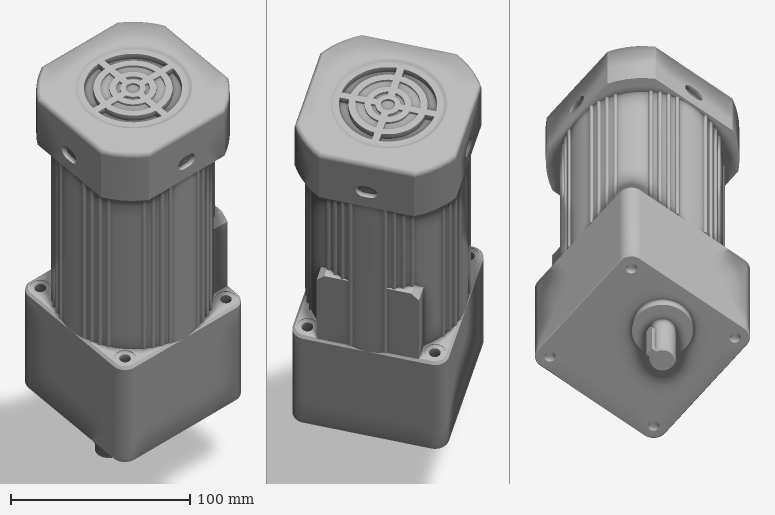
import cadquery as cq

total_height = 270.5
shaft_length = 31.5
boss_height = 5.5
gearbox_height = 65.5
flange_height = 8.0
seat_height = 0.6
cover_height = 36.0
gearbox_bottom = shaft_length + boss_height
flange_bottom = gearbox_bottom + gearbox_height
flange_top = flange_bottom + flange_height
tube_bottom = flange_top + seat_height
cover_bottom = total_height - cover_height

frame_width = 90.0
frame_corner_radius = 8.0
gearbox_bottom_chamfer = 0.5
flange_top_chamfer = 1.5
bolt_circle_radius = 52.0
bolt_count = 4
first_bolt_angle = 45.0
bolt_hole_diameter = 6.5
spotface_diameter = 12.0
spotface_depth = 0.5

shaft_offset_y = -18.0
shaft_diameter = 15.0
shaft_end_chamfer = 0.8
boss_diameter = 34.0
key_width = 5.0
key_height = 5.0
key_length = 25.0
key_protrusion = 2.0

tube_radius = frame_width / 2
rib_radius = 1.2
ribs_per_group = 4
rib_groups = 8
rib_pitch_angle = 6.5

block_width = 59.0
block_height = 54.5
block_top_chamfer = 4.5
block_depth = 44.0

cover_width = 93.0
cover_corner_radius = 54.0
cover_edge_radius = 3.0
recess_radius = 33.0
recess_floor_radius = 31.5
recess_depth = 0.8
slot_rings = [(22.0, 27.4, 4.0), (13.0, 18.2, 1.5), (7.0, 9.4, 1.5)]
spoke_width = 4.0
hub_hole_diameter = 8.0
hub_hole_depth = 1.5
window_count = 4
window_width = 12.4
window_height = 9.0
window_depth = 3.0
window_center_z = 247.0


def square_block(bottom, height):
    """Square block with rounded vertical corners, shared by the gearbox and the flange."""
    block = cq.Workplane("XY").workplane(offset=bottom).rect(frame_width, frame_width).extrude(height)
    return block.edges("|Z").fillet(frame_corner_radius)


def corner_cylinders(diameter, bottom, height):
    """One cylinder on the bolt circle in each corner of the frame."""
    plane = cq.Workplane("XY").workplane(offset=bottom)
    corners = plane.polarArray(bolt_circle_radius, first_bolt_angle, 360, bolt_count)
    return corners.circle(diameter / 2).extrude(height)


def make_key():
    """Parallel key, rounded at its upper end and flush with the end of the shaft."""
    outer_face_x = -(shaft_diameter / 2 + key_protrusion)
    straight_length = key_length - key_width / 2
    profile = (
        cq.Workplane("YZ", origin=(outer_face_x, shaft_offset_y, 0))
        .moveTo(-key_width / 2, 0)
        .lineTo(key_width / 2, 0)
        .lineTo(key_width / 2, straight_length)
        .threePointArc((0, key_length), (-key_width / 2, straight_length))
        .close()
    )
    return profile.extrude(key_height)


def make_gearbox(key):
    """Gear housing with its boss and output shaft, drilled in the corners, with a keyway."""
    housing = square_block(gearbox_bottom, gearbox_height).faces("<Z").edges().chamfer(gearbox_bottom_chamfer)
    axis = cq.Workplane("XY").center(0, shaft_offset_y)
    boss = axis.workplane(offset=shaft_length).circle(boss_diameter / 2).extrude(boss_height)
    shaft = axis.circle(shaft_diameter / 2).extrude(gearbox_bottom)
    shaft = shaft.faces("<Z").chamfer(shaft_end_chamfer)
    bolt_holes = corner_cylinders(bolt_hole_diameter, gearbox_bottom, gearbox_height)
    return housing.union(boss).union(shaft).cut(bolt_holes).cut(key)


def make_flange():
    """Mounting flange with a chamfered top edge, spotfaced bolt holes and a round seat for the tube."""
    flange = square_block(flange_bottom, flange_height).faces(">Z").edges().chamfer(flange_top_chamfer)
    bolt_holes = corner_cylinders(bolt_hole_diameter, flange_bottom, flange_height)
    spotfaces = corner_cylinders(spotface_diameter, flange_top - spotface_depth, spotface_depth)
    seat_base = cq.Workplane("XY").workplane(offset=flange_bottom)
    seat = seat_base.circle(tube_radius).extrude(flange_height + seat_height)
    return flange.union(seat).cut(bolt_holes).cut(spotfaces)


def make_tube():
    """Round motor tube with groups of half-round ribs along its length."""
    tube_length = cover_bottom - tube_bottom
    base = cq.Workplane("XY").workplane(offset=tube_bottom)
    tube = base.circle(tube_radius).extrude(tube_length)
    group_span = (ribs_per_group - 1) * rib_pitch_angle
    group_pitch = 360 / rib_groups
    for group in range(rib_groups):
        first_rib_angle = (group + 0.5) * group_pitch - group_span / 2
        ribs = base.polarArray(tube_radius, first_rib_angle, group_span, ribs_per_group)
        tube = tube.union(ribs.circle(rib_radius).extrude(tube_length))
    return tube


def make_terminal_block():
    """Block from the motor axis out to the +Y side, with chamfered upper side edges."""
    block = (
        cq.Workplane("XY")
        .workplane(offset=flange_top)
        .rect(block_width, block_depth)
        .extrude(block_height)
        .translate((0, block_depth / 2, 0))
    )
    return block.faces(">Z").edges("|Y").chamfer(block_top_chamfer)


def make_grille_cutter():
    """Conical recess in the cover top with a hub hole and rings of slots below its floor."""
    floor_z = total_height - recess_depth
    cutter = (
        cq.Workplane("XY")
        .workplane(offset=floor_z)
        .circle(recess_floor_radius)
        .workplane(offset=recess_depth)
        .circle(recess_radius)
        .loft()
    )
    floor = cq.Workplane("XY").workplane(offset=floor_z)
    cutter = cutter.union(floor.circle(hub_hole_diameter / 2).extrude(-hub_hole_depth))
    for inner_radius, outer_radius, depth in slot_rings:
        ring = floor.circle(outer_radius).circle(inner_radius).extrude(-depth)
        spoke_x = floor.rect(2 * recess_radius, spoke_width).extrude(-depth)
        spoke_y = floor.rect(spoke_width, 2 * recess_radius).extrude(-depth)
        cutter = cutter.union(ring.cut(spoke_x).cut(spoke_y))
    return cutter


def make_cover():
    """Fan cover with a rounded top edge, a slotted grille and a window in each side."""
    base = cq.Workplane("XY").workplane(offset=cover_bottom)
    square = base.rect(cover_width, cover_width).extrude(cover_height)
    cover = square.intersect(base.circle(cover_corner_radius).extrude(cover_height))
    cover = cover.faces(">Z").edges().fillet(cover_edge_radius)
    cover = cover.cut(make_grille_cutter())
    window = (
        cq.Workplane("XZ", origin=(0, -cover_width / 2, window_center_z))
        .slot2D(window_width, window_height)
        .extrude(-window_depth)
    )
    for side in range(window_count):
        cover = cover.cut(window.rotate((0, 0, 0), (0, 0, 1), side * 360 / window_count))
    return cover


key = make_key()
gearbox = make_gearbox(key)
motor = make_flange().union(make_tube()).union(make_terminal_block()).union(make_cover())

result = cq.Compound.makeCompound([gearbox.val(), motor.val(), key.val()])